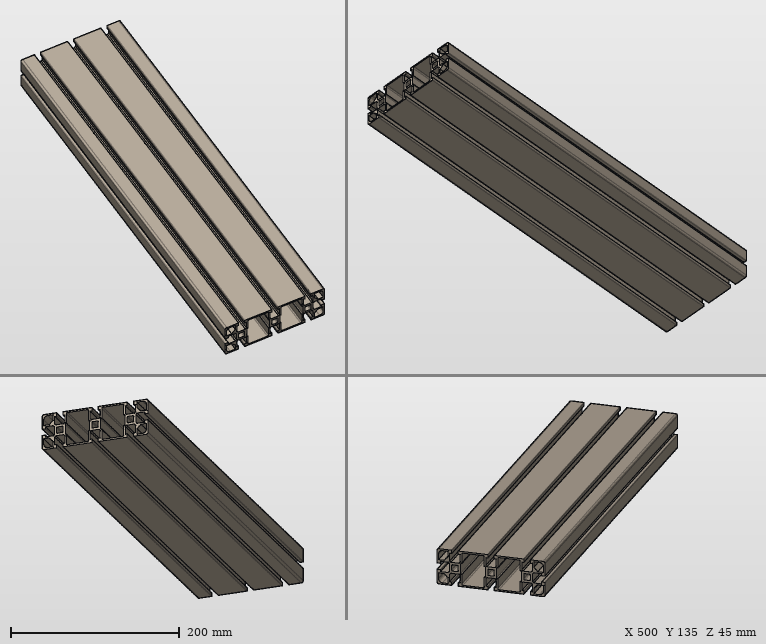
import cadquery as cq

LENGTH = 500.0
MODULE = 45.0
MODULE_COUNT = 3
WIDTH = MODULE * MODULE_COUNT
HEIGHT = MODULE
OUTER_ROUND = 2.5

SLOT_MOUTH = 8.0
SLOT_INNER_WIDTH = 13.0
SLOT_BOTTOM_CHAMFER = 1.5
LIP_THICKNESS = 4.5
LIP_ROUND = 0.4

CORE_HEIGHT = 14.0
CORE_WIDTH = 14.0
BORE_SIZE = 8.0
BORE_ROUND = 1.0

OUTER_WALL = 2.0
SLOT_WALL = 2.0
CHAMBER_ROUND = 1.5
CORE_RELIEF_ROUND = 1.0
HOLLOW_ROUND = 5.0
HOLLOW_CHAMFER = 5.0

HALF_MODULE = MODULE / 2
END_MODULE_Y = (WIDTH - MODULE) / 2
HOLLOW_OFFSET = SLOT_INNER_WIDTH / 2 + SLOT_WALL


def bar(width, height):
    """Full-length bar with a rectangular section centred on the X axis."""
    return cq.Workplane("XY").box(LENGTH, width, height)


def row(count):
    """Y positions of `count` items, one module apart and centred on the profile."""
    return [(i - (count - 1) / 2) * MODULE for i in range(count)]


def slot_lip():
    """Lip on the +Y side of an upward slot, with a rounded free end."""
    width = (SLOT_INNER_WIDTH - SLOT_MOUTH) / 2
    center_y = (SLOT_INNER_WIDTH + SLOT_MOUTH) / 4
    lip = bar(width, LIP_THICKNESS).translate((0, center_y, HALF_MODULE - LIP_THICKNESS / 2))
    return lip.faces("<Y").edges("|X").fillet(LIP_ROUND)


def slot(center_y, turn):
    """T-slot of the module at center_y: opens upward, then turned about the module axis."""
    depth = (MODULE - CORE_HEIGHT) / 2
    space = bar(SLOT_INNER_WIDTH, depth).translate((0, 0, HALF_MODULE - depth / 2))
    space = space.faces("<Z").edges("|X").chamfer(SLOT_BOTTOM_CHAMFER)
    lip = slot_lip()
    space = space.cut(lip).cut(lip.mirror("XZ"))
    return space.rotate((0, 0, 0), (1, 0, 0), turn).translate((0, center_y, 0))


def bore(center_y):
    """Rounded square hole along a core."""
    return bar(BORE_SIZE, BORE_SIZE).edges("|X").fillet(BORE_ROUND).translate((0, center_y, 0))


def chamber(center_y):
    """Large hollow between two neighbouring cores, slightly wider beside the cores."""
    main = bar(MODULE - 2 * HOLLOW_OFFSET, HEIGHT - 2 * OUTER_WALL)
    main = main.edges("|X").fillet(CHAMBER_ROUND)
    core_relief = bar(MODULE - CORE_WIDTH, CORE_HEIGHT).edges("|X").fillet(CORE_RELIEF_ROUND)
    return main.union(core_relief).translate((0, center_y, 0))


def corner_hollow():
    """Hollow in the +Y +Z profile corner: rounded outside, bevelled toward the core."""
    near = HOLLOW_OFFSET
    far = HALF_MODULE - OUTER_WALL
    bevel_end = near + HOLLOW_CHAMFER
    outline = [(bevel_end, near), (far, near), (far, far), (near, far), (near, bevel_end)]
    hollow = cq.Workplane("YZ").polyline(outline).close().extrude(LENGTH / 2, both=True)
    hollow = hollow.faces(">Y").edges(">Z").fillet(HOLLOW_ROUND)
    return hollow.translate((0, END_MODULE_Y, 0))


result = bar(WIDTH, HEIGHT).edges("|X").fillet(OUTER_ROUND)

for module_y in row(MODULE_COUNT):
    for slot_turn in (0, 180):
        result = result.cut(slot(module_y, slot_turn))
    result = result.cut(bore(module_y))

result = result.cut(slot(END_MODULE_Y, -90))
result = result.cut(slot(-END_MODULE_Y, 90))

for chamber_y in row(MODULE_COUNT - 1):
    result = result.cut(chamber(chamber_y))

upper_right = corner_hollow()
upper_left = upper_right.mirror("XZ")
for upper_hollow in (upper_right, upper_left):
    result = result.cut(upper_hollow).cut(upper_hollow.mirror("XY"))